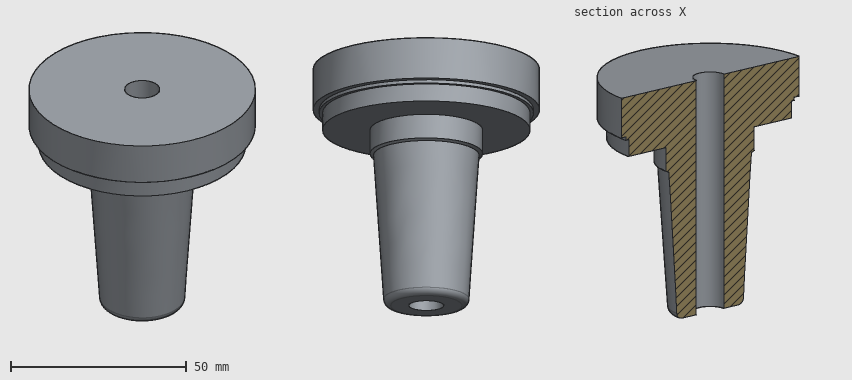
import cadquery as cq

total_height = 70.0
flange_diameter = 64.5
flange_radius = flange_diameter / 2
flange_thickness = 12.0

lip_radius = 30.5
lip_thickness = 1.0
spigot_radius = 29.55
spigot_thickness = 5.05

neck_radius = 16.0
neck_length = 7.0
shoulder_height = 0.5
stem_top_radius = 15.05
stem_tip_radius = 12.05
tip_fillet = 2.0

bore_radius = 5.0

flange_bottom = total_height - flange_thickness
lip_bottom = flange_bottom - lip_thickness
spigot_bottom = lip_bottom - spigot_thickness
neck_bottom = spigot_bottom - neck_length
stem_top = neck_bottom - shoulder_height


def turned_body():
    """Revolve the stepped half profile about the Z axis."""
    half_profile = [
        (0, 0),
        (stem_tip_radius, 0),
        (stem_top_radius, stem_top),
        (neck_radius, neck_bottom),
        (neck_radius, spigot_bottom),
        (spigot_radius, spigot_bottom),
        (spigot_radius, lip_bottom),
        (lip_radius, lip_bottom),
        (lip_radius, flange_bottom),
        (flange_radius, flange_bottom),
        (flange_radius, total_height),
        (0, total_height),
    ]
    profile = cq.Workplane("XZ").polyline(half_profile).close()
    return profile.revolve(360, (0, 0), (0, 1))


def through_bore():
    """Straight bore along the full height."""
    return cq.Workplane("XY").circle(bore_radius).extrude(total_height)


rounded_body = turned_body().faces("<Z").edges().fillet(tip_fillet)
result = rounded_body.cut(through_bore())